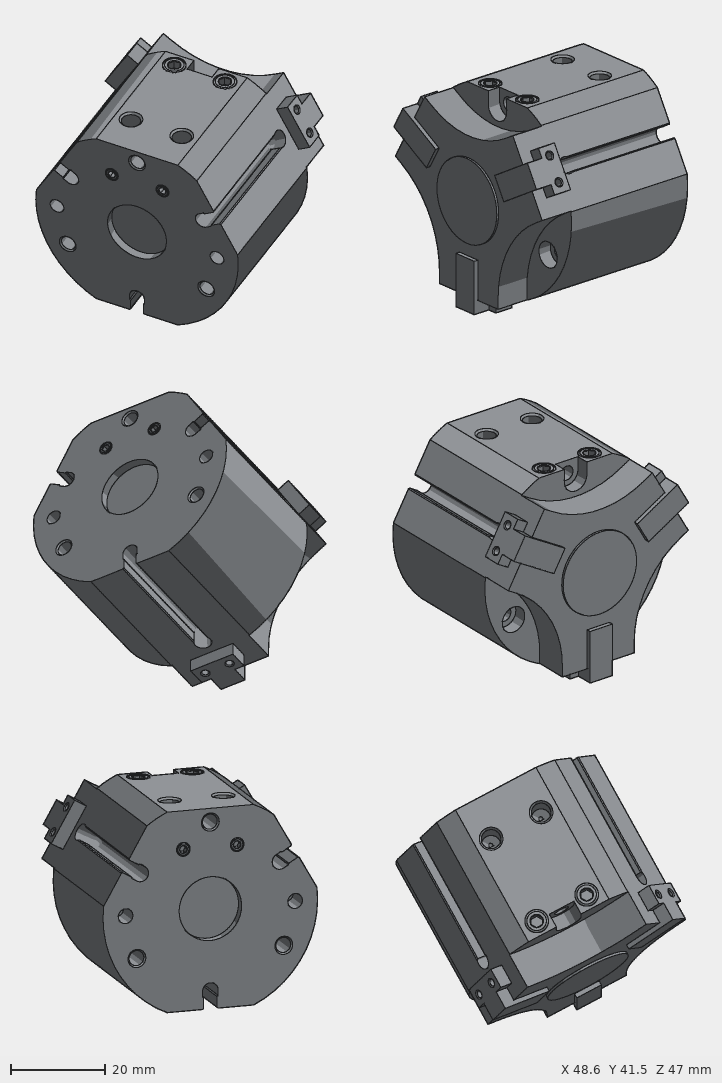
import cadquery as cq
import math


housing_radius = 24.05
flat_distance = 22.0
shoulder_y = 32.5
nose_y = 40.5
jaw_angles = [60, 180, 300]
scoop_angles = [0, 120, 240]

guide_half_width = 9.5
guide_wall = 2.3
scoop_radius = housing_radius

cover_radius = 9.7
cover_height = 0.55

pocket_diameter = 14.0
pocket_depth = 2.0
dowel_diameter = 3.25
dowel_depth = 6.0
dowel_x = 19.0

mount_radius = 19.0
mount_diameter = 3.3
mount_chamfer_diameter = 4.0
head_diameter = 5.9
head_depth = 3.15

groove_end_y = 29.35
groove_diameter = 3.5
groove_center_radius = 18.0
groove_wall = 1.15
neck_width = 3.0
entry_diameter = 3.8

port_x = 6.0
port_ys = [9.1, 29.3]
port_diameter = 4.15
port_chamfer_diameter = 5.0
port_tip_angle = 118
port_tip_z = 14.35
front_port_z = 13.5
front_port_diameter = 2.5
front_port_depth = 9.25

plug_chamfer_angle = 30
top_plug_diameter = port_chamfer_diameter
top_plug_length = 4.0
top_plug_hex = 2.5
top_plug_hex_depth = 2.0
front_plug_diameter = 3.0
front_plug_length = 3.0
front_plug_hex = 1.5
front_plug_hex_depth = 1.5

jaw_outer_radius = 25.0
jaw_inner_radius = 12.75
jaw_foot_width = 10.5
jaw_stem_width = 5.9
jaw_foot_start_y = 32.95
jaw_foot_end_y = 37.45
jaw_end_y = 41.5
jaw_hole_diameter = 1.55
jaw_hole_chamfer = 0.25
jaw_hole_half_pitch = 3.0
jaw_hole_y = 35.25

origin = (0, 0, 0)
y_axis = (0, 1, 0)
down = (0, 0, -1)


def turned(shape, angle):
    """The shape turned about the housing axis, from +Z towards +X."""
    return shape.rotate(origin, y_axis, angle)


def block(x_range, y_range, z_range):
    """An axis-aligned box between the given limits."""
    corner = cq.Vector(x_range[0], y_range[0], z_range[0])
    return cq.Workplane(
        obj=cq.Solid.makeBox(
            x_range[1] - x_range[0], y_range[1] - y_range[0], z_range[1] - z_range[0], corner
        )
    )


def rod(diameter, start, direction, length):
    """A cylinder from the start point along the direction."""
    return cq.Workplane(
        obj=cq.Solid.makeCylinder(diameter / 2, length, cq.Vector(*start), cq.Vector(*direction))
    )


def countersink(wide, narrow, start, direction):
    """A 45 degree cone that opens a hole of the narrow diameter to the wide one at the start point."""
    depth = (wide - narrow) / 2
    return cq.Workplane(
        obj=cq.Solid.makeCone(wide / 2, narrow / 2, depth, cq.Vector(*start), cq.Vector(*direction))
    )


def housing_blank():
    """A cylinder with one flat on top and one under each jaw."""
    blank = rod(2 * housing_radius, origin, y_axis, nose_y)
    beyond_flat = block(
        (-housing_radius, housing_radius), (0, nose_y), (flat_distance, housing_radius)
    )
    for angle in [0] + jaw_angles:
        blank = blank.cut(turned(beyond_flat, angle))
    return blank


def scoop():
    """The concave cut between two jaw guides, centred on +Z."""
    flat_tilt = math.radians(90 - jaw_angles[0])
    wall_inner = flat_distance - guide_wall

    def beside_guide(distance):
        """A point on the side wall of the jaw guide, at a distance along the guide's own axis."""
        x = distance * math.cos(flat_tilt) - guide_half_width * math.sin(flat_tilt)
        z = distance * math.sin(flat_tilt) + guide_half_width * math.cos(flat_tilt)
        return x, z

    outer_x, outer_z = beside_guide(2 * flat_distance)
    inner_x, inner_z = beside_guide(wall_inner)
    sagitta = scoop_radius - math.sqrt(scoop_radius**2 - inner_x**2)
    return (
        cq.Workplane("XZ", origin=(0, shoulder_y, 0))
        .moveTo(-outer_x, outer_z)
        .lineTo(-inner_x, inner_z)
        .threePointArc((0, inner_z - sagitta), (inner_x, inner_z))
        .lineTo(outer_x, outer_z)
        .close()
        .extrude(shoulder_y - nose_y)
    )


def mount_hole():
    """A chamfered through hole with a screw head recess in the scooped shoulder."""
    start = (0, 0, mount_radius)
    recess_start = (0, shoulder_y - head_depth, mount_radius)
    return (
        rod(mount_diameter, start, y_axis, nose_y)
        .union(countersink(mount_chamfer_diameter, mount_diameter, start, y_axis))
        .union(rod(head_diameter, recess_start, y_axis, nose_y))
    )


def head_slot():
    """The opening that takes the top screw head recess out through the top flat."""
    half = head_diameter / 2
    return block((-half, half), (shoulder_y - head_depth, shoulder_y), (mount_radius, housing_radius))


def sensor_groove():
    """A round-bottomed groove with a narrower neck, ending in a wider round-bottomed entry hole, on +Z."""
    radius = groove_diameter / 2
    half_neck = neck_width / 2
    neck_chamfer = radius - half_neck
    shoulder_z = groove_center_radius + groove_wall
    profile = (
        cq.Workplane("XZ")
        .moveTo(-radius, groove_center_radius)
        .threePointArc((0, groove_center_radius - radius), (radius, groove_center_radius))
        .lineTo(radius, shoulder_z)
        .lineTo(half_neck, shoulder_z + neck_chamfer)
        .lineTo(half_neck, flat_distance - neck_chamfer)
        .lineTo(radius, flat_distance)
        .lineTo(-radius, flat_distance)
        .lineTo(-half_neck, flat_distance - neck_chamfer)
        .lineTo(-half_neck, shoulder_z + neck_chamfer)
        .lineTo(-radius, shoulder_z)
        .close()
        .extrude(-groove_end_y)
    )
    entry = (
        cq.Workplane("XZ", origin=(0, groove_end_y, 0))
        .moveTo(0, groove_center_radius - radius)
        .radiusArc((radius, groove_center_radius), -radius)
        .lineTo(entry_diameter / 2, shoulder_z)
        .lineTo(entry_diameter / 2, flat_distance)
        .lineTo(0, flat_distance)
        .close()
        .revolve(360, (0, 0, 0), (0, 1, 0))
    )
    return profile.union(entry)


def top_port(x, y):
    """A chamfered drilled hole with a conical tip in the top flat."""
    radius = port_diameter / 2
    chamfer = (port_chamfer_diameter - port_diameter) / 2
    tip_height = radius / math.tan(math.radians(port_tip_angle / 2))
    return (
        cq.Workplane("XZ", origin=(x, y, 0))
        .moveTo(0, port_tip_z)
        .lineTo(radius, port_tip_z + tip_height)
        .lineTo(radius, flat_distance - chamfer)
        .lineTo(radius + chamfer, flat_distance)
        .lineTo(0, flat_distance)
        .close()
        .revolve(360, (0, 0, 0), (0, 1, 0))
    )


def front_port(x):
    """A flat-bottomed hole in the mounting face, wider where its plug sits, that meets a top port."""
    start = (x, 0, front_port_z)
    seat = rod(front_plug_diameter, start, y_axis, front_plug_length)
    return rod(front_port_diameter, start, y_axis, front_port_depth).union(seat)


def top_plug_seat(x):
    """The wider bore that takes a plug at the mouth of a rear top port."""
    return rod(top_plug_diameter, (x, port_ys[-1], flat_distance), down, top_plug_length)


def make_housing():
    housing = housing_blank()
    for angle in scoop_angles:
        housing = housing.cut(turned(scoop(), angle))
        housing = housing.cut(turned(mount_hole(), angle))
    housing = housing.cut(head_slot())
    housing = housing.union(rod(2 * cover_radius, (0, nose_y, 0), y_axis, cover_height))
    housing = housing.cut(rod(pocket_diameter, origin, y_axis, pocket_depth))
    for angle in jaw_angles:
        housing = housing.cut(turned(sensor_groove(), angle))
    for side in (-1, 1):
        housing = housing.cut(rod(dowel_diameter, (side * dowel_x, 0, 0), y_axis, dowel_depth))
        housing = housing.cut(front_port(side * port_x))
        housing = housing.cut(top_plug_seat(side * port_x))
        for y in port_ys:
            housing = housing.cut(top_port(side * port_x, y))
    return housing


def make_jaw():
    """A T-shaped jaw on +Z: a foot on the flat, and a stem that hooks over the nose face."""
    half_foot = jaw_foot_width / 2
    half_stem = jaw_stem_width / 2
    on_flat = (flat_distance, jaw_outer_radius)
    foot = block((-half_foot, half_foot), (jaw_foot_start_y, jaw_foot_end_y), on_flat)
    stem = block((-half_stem, half_stem), (jaw_foot_end_y, jaw_end_y), on_flat)
    hook = block((-half_stem, half_stem), (nose_y, jaw_end_y), (jaw_inner_radius, flat_distance))
    jaw = foot.union(stem).union(hook)
    for side in (-1, 1):
        start = (side * jaw_hole_half_pitch, jaw_hole_y, jaw_outer_radius)
        hole = rod(jaw_hole_diameter, start, down, jaw_outer_radius - flat_distance)
        opening = jaw_hole_diameter + 2 * jaw_hole_chamfer
        jaw = jaw.cut(hole).cut(countersink(opening, jaw_hole_diameter, start, down))
    return jaw


def make_plug(diameter, face_diameter, length, hexagon, hexagon_depth):
    """A plug along -Z with its chamfered face at Z = 0, and a hexagon socket in that face."""
    radius = diameter / 2
    face_radius = face_diameter / 2
    chamfer_depth = (radius - face_radius) * math.tan(math.radians(plug_chamfer_angle))
    plug = (
        cq.Workplane("XZ")
        .lineTo(face_radius, 0)
        .lineTo(radius, -chamfer_depth)
        .lineTo(radius, -length)
        .lineTo(0, -length)
        .close()
        .revolve(360, (0, 0, 0), (0, 1, 0))
    )
    corner_diameter = hexagon / math.cos(math.radians(30))
    socket = cq.Workplane("XY").polygon(6, corner_diameter).extrude(-hexagon_depth)
    lead_in = countersink(corner_diameter, hexagon, origin, down)
    return plug.cut(socket).cut(lead_in)


def make_top_plug(x):
    """A plug flush with the top flat in a rear top port."""
    plug = make_plug(
        top_plug_diameter, port_diameter, top_plug_length, top_plug_hex, top_plug_hex_depth
    )
    return plug.translate((x, port_ys[-1], flat_distance))


def make_front_plug(x):
    """A plug flush with the mounting face in a front port."""
    plug = make_plug(
        front_plug_diameter,
        front_port_diameter,
        front_plug_length,
        front_plug_hex,
        front_plug_hex_depth,
    )
    return plug.rotate(origin, (1, 0, 0), 90).translate((x, 0, front_port_z))


housing = make_housing()
jaws = [turned(make_jaw(), angle) for angle in jaw_angles]
top_plugs = [make_top_plug(side * port_x) for side in (-1, 1)]
front_plugs = [make_front_plug(side * port_x) for side in (-1, 1)]

result = cq.Compound.makeCompound(
    [housing.val()] + [body.val() for body in jaws + top_plugs + front_plugs]
)